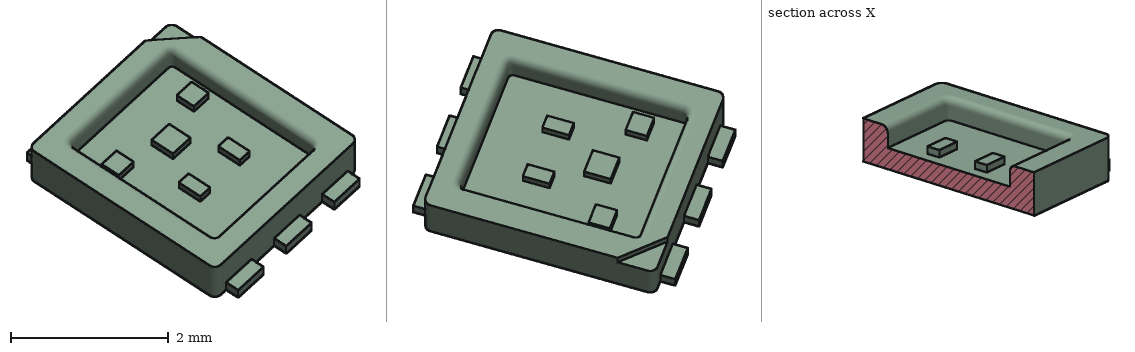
import cadquery as cq

body_length = 3.1
body_width = 2.8
body_height = 0.6
body_corner_radius = 0.1

overall_length = 3.5
lead_width = 0.5
lead_height = 0.15
lead_pitch = 0.945
leads_per_side = 3

pocket_length = 2.395
pocket_width = 1.988
pocket_depth = 0.3
pocket_corner_radius = 0.063
pocket_rim_radius = 0.1

notch_leg = 0.5
notch_depth = 0.1

chip_height = 0.1
center_chip_size = (0.355, 0.343)
center_chip_x = -0.368
square_chip_size = (0.285, 0.29)
square_chip_x = -0.63
square_chip_offset_y = 0.74
narrow_chip_size = (0.357, 0.192)
narrow_chip_x = 0.345
narrow_chip_offset_y = 0.39


def make_block(length, width, height, corner_radius, base_z):
    """Centred block with rounded vertical edges."""
    block = cq.Workplane("XY").workplane(offset=base_z).rect(length, width).extrude(height)
    return block.edges("|Z").fillet(corner_radius)


def make_housing():
    """Rounded block with a pocket whose rim is rounded over."""
    floor_z = body_height - pocket_depth
    housing = make_block(body_length, body_width, body_height, body_corner_radius, 0)
    pocket = make_block(pocket_length, pocket_width, pocket_depth, pocket_corner_radius, floor_z)
    housing = housing.cut(pocket)
    rim_wire = housing.faces(">Z").val().innerWires()[0]
    return housing.newObject(rim_wire.Edges()).fillet(pocket_rim_radius)


def make_notch():
    """Triangular prism that removes the top of one body corner."""
    corner_x = -body_length / 2
    corner_y = body_width / 2
    return (
        cq.Workplane("XY")
        .workplane(offset=body_height - notch_depth)
        .moveTo(corner_x, corner_y)
        .lineTo(corner_x + notch_leg, corner_y)
        .lineTo(corner_x, corner_y - notch_leg)
        .close()
        .extrude(notch_depth)
    )


def make_leads():
    """Rectangular leads standing out from the two X ends."""
    lead_reach = (overall_length - body_length) / 2
    lead_x_pitch = body_length + lead_reach
    return (
        cq.Workplane("XY")
        .rarray(lead_x_pitch, lead_pitch, 2, leads_per_side)
        .rect(lead_reach, lead_width)
        .extrude(lead_height)
    )


def make_chips(size, centers):
    """Equal rectangular chips resting on the pocket floor."""
    floor_plane = cq.Workplane("XY").workplane(offset=body_height - pocket_depth)
    return floor_plane.pushPoints(centers).rect(*size).extrude(chip_height)


def mirrored_centers(x, offset_y):
    """Two positions mirrored about the X axis."""
    return [(x, -offset_y), (x, offset_y)]


result = (
    make_housing()
    .cut(make_notch())
    .union(make_leads())
    .union(make_chips(center_chip_size, [(center_chip_x, 0)]))
    .union(make_chips(square_chip_size, mirrored_centers(square_chip_x, square_chip_offset_y)))
    .union(make_chips(narrow_chip_size, mirrored_centers(narrow_chip_x, narrow_chip_offset_y)))
)